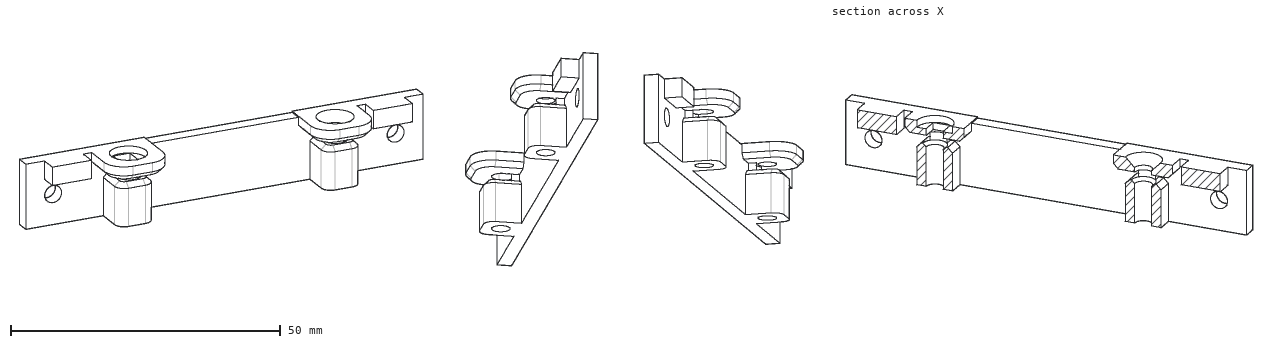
import cadquery as cq

length = 81.5
height = 13.05
plate_thickness = 2.8
relief_depth = 0.25
plate_hole_inset = 5.6
plate_hole_height = 6.1
hole_diameter = 3.4

tab_reach = 12.15
tab_width = 12.1
tab_center_y = 21.2
tab_thickness = 2.8
tab_corner_radius = 4.1
tab_chamfer = 1.0
tab_hole_x = 5.95
head_diameter = 7.1
countersink_depth = (head_diameter - hole_diameter) / 2
counterbore_depth = 1.4
slot_start_x = 2.9

block_reach = 9.6
block_width = 7.3
block_height = 8.6
block_corner_radius = 1.95
block_chamfer = 1.0
neck_reach = 4.7
neck_width = hole_diameter
neck_bore_diameter = 4.7
neck_bore_taper = (neck_bore_diameter - hole_diameter) / 2

tooth_reach = 6.2
tooth_width = 8.0
tooth_height = 3.7
tooth_end_inset = 3.8


def box(reach, width, bottom, top, center_y):
    """Block that starts at the outer plate face and reaches along +X."""
    return (
        cq.Workplane("XY", origin=(0, center_y, bottom))
        .rect(reach, width)
        .extrude(top - bottom)
        .translate((reach / 2, 0, 0))
    )


def vertical_cylinder(diameter, bottom, top, center_y):
    return (
        cq.Workplane("XY", origin=(tab_hole_x, center_y, bottom))
        .circle(diameter / 2)
        .extrude(top - bottom)
    )


def make_plate():
    plate = box(plate_thickness, length, 0, height, 0)
    relief_width = 2 * tab_center_y - tab_width
    relief = box(plate_thickness, relief_width, height - relief_depth, height, 0)
    return plate.cut(relief)


def make_tab(center_y):
    tab = box(tab_reach, tab_width, height - tab_thickness, height, center_y)
    return tab.edges("|Z and >X").fillet(tab_corner_radius).faces("<Z").chamfer(tab_chamfer)


def make_block(center_y):
    block = box(block_reach, block_width, 0, block_height, center_y)
    return block.edges("|Z and >X").fillet(block_corner_radius).faces(">Z").chamfer(block_chamfer)


def make_countersink(diameter, depth, top, center_y):
    return (
        cq.Workplane("XY", origin=(tab_hole_x, center_y, top))
        .circle(diameter / 2)
        .workplane(offset=-depth)
        .circle(hole_diameter / 2)
        .loft(ruled=True)
    )


def make_slotted_counterbore(center_y):
    floor = height - counterbore_depth
    bore = vertical_cylinder(head_diameter, floor, height, center_y)
    slot = box(
        tab_hole_x - slot_start_x, hole_diameter, height - tab_thickness, floor, center_y
    ).translate((slot_start_x, 0, 0))
    return bore.union(slot)


result = make_plate()

for side in (-1, 1):
    tab_y = side * tab_center_y
    tooth_y = side * (length / 2 - tooth_end_inset - tooth_width / 2)
    plate_hole_y = side * (length / 2 - plate_hole_inset)

    result = result.union(make_tab(tab_y)).union(make_block(tab_y))
    result = result.union(box(neck_reach, neck_width, block_height, height - tab_thickness, tab_y))
    result = result.union(box(tooth_reach, tooth_width, height - tooth_height, height, tooth_y))

    result = result.cut(vertical_cylinder(hole_diameter, 0, height, tab_y))
    result = result.cut(
        vertical_cylinder(neck_bore_diameter, block_height, height - tab_thickness, tab_y)
    )
    result = result.cut(make_countersink(neck_bore_diameter, neck_bore_taper, block_height, tab_y))

    plate_hole = (
        cq.Workplane("YZ")
        .center(plate_hole_y, plate_hole_height)
        .circle(hole_diameter / 2)
        .extrude(tooth_reach)
    )
    result = result.cut(plate_hole)

result = result.cut(make_countersink(head_diameter, countersink_depth, height, tab_center_y))
result = result.cut(make_slotted_counterbore(-tab_center_y))